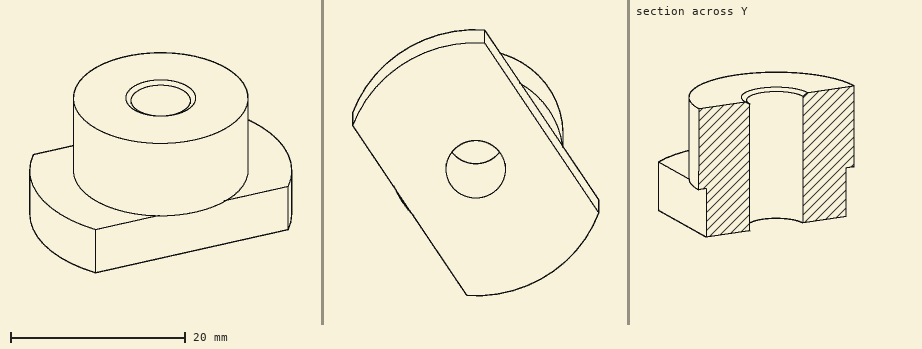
import cadquery as cq
import math

flange_diameter = 30.0
flange_width = 18.0
flange_thickness = 5.8

boss_diameter = 20.0
total_height = 15.5
boss_height = total_height - flange_thickness

hole_diameter = 6.8
countersink_diameter = 8.0
countersink_angle = 120.0
countersink_depth = (countersink_diameter - hole_diameter) / 2 / math.tan(math.radians(countersink_angle / 2))


def make_flange():
    disc = cq.Workplane("XY").circle(flange_diameter / 2).extrude(flange_thickness)
    band = cq.Workplane("XY").rect(flange_width, flange_diameter).extrude(flange_thickness)
    return disc.intersect(band)


def make_boss():
    base = cq.Workplane("XY").workplane(offset=flange_thickness)
    return base.circle(boss_diameter / 2).extrude(boss_height)


def make_hole():
    """Half profile of the hole and its countersink, revolved about Z."""
    hole_radius = hole_diameter / 2
    profile = (
        cq.Workplane("XZ")
        .moveTo(0, 0)
        .lineTo(hole_radius, 0)
        .lineTo(hole_radius, total_height - countersink_depth)
        .lineTo(countersink_diameter / 2, total_height)
        .lineTo(0, total_height)
        .close()
    )
    return profile.revolve(360, (0, 0, 0), (0, 1, 0))


result = make_flange().union(make_boss()).cut(make_hole())